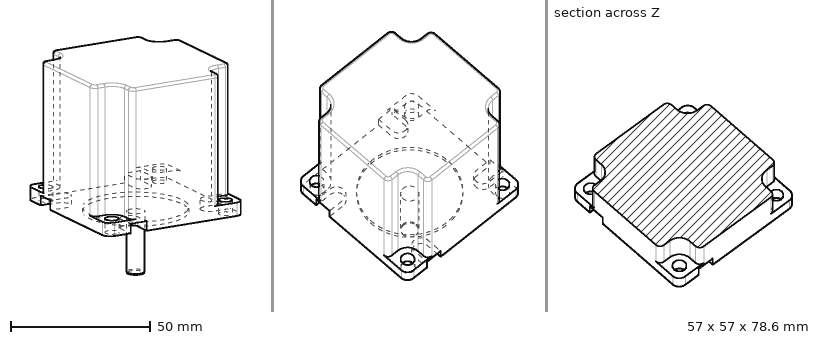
import cadquery as cq

side = 57.0
total_height = 78.6

plate_thickness = 5.0
plate_corner_radius = 3.15
hole_diameter = 5.0
hole_pitch = 47.1

motor_height = 54.0
relief_size = 10.1
housing_edge_radius = 2.05
top_edge_radius = 1.0

pilot_diameter = 38.1
pilot_height = 1.6
shaft_diameter = 6.5
shaft_end_chamfer_height = 0.5
shaft_end_chamfer_width = 0.15

slot_width = 6.75
slot_height = 3.6
slot_offset = 15.25
slot_straight_length = slot_width

pilot_bottom = -pilot_height
shaft_bottom = motor_height - total_height
half_side = side / 2
hole_offset = hole_pitch / 2
relief_corner_radius = relief_size - (half_side - hole_offset)


def make_plate():
    return (
        cq.Workplane("XY")
        .rect(side, side)
        .extrude(plate_thickness)
        .edges("|Z")
        .fillet(plate_corner_radius)
    )


def make_corner_relief():
    """Cutter for the (+X, +Y) corner, rounded where it faces the axis."""
    return (
        cq.Workplane("XY")
        .center(half_side, half_side)
        .rect(2 * relief_size, 2 * relief_size)
        .extrude(motor_height)
        .edges("|Z")
        .fillet(relief_corner_radius)
    )


def make_housing():
    housing = cq.Workplane("XY").rect(side, side).extrude(motor_height)
    relief = make_corner_relief()
    for quarter in range(4):
        housing = housing.cut(relief.rotate((0, 0, 0), (0, 0, 1), 90 * quarter))
    for face in ("<X", ">X", "<Y", ">Y"):
        housing = housing.faces(face).edges("|Z").fillet(housing_edge_radius)
    return housing.faces(">Z").edges().fillet(top_edge_radius)


def make_pilot():
    return cq.Workplane("XY").circle(pilot_diameter / 2).extrude(pilot_bottom)


def make_shaft():
    return (
        cq.Workplane("XY")
        .circle(shaft_diameter / 2)
        .extrude(shaft_bottom)
        .faces("<Z")
        .chamfer(shaft_end_chamfer_height, shaft_end_chamfer_width)
    )


def make_slot():
    """Cutter for the slot opening in the -Y face."""
    end_center_y = -half_side + slot_straight_length
    half_width = slot_width / 2
    return (
        cq.Workplane("XY")
        .moveTo(-slot_offset - half_width, -half_side)
        .lineTo(-slot_offset - half_width, end_center_y)
        .threePointArc(
            (-slot_offset, end_center_y + half_width),
            (-slot_offset + half_width, end_center_y),
        )
        .lineTo(-slot_offset + half_width, -half_side)
        .close()
        .extrude(slot_height)
    )


def make_mounting_holes():
    return (
        cq.Workplane("XY")
        .rect(hole_pitch, hole_pitch, forConstruction=True)
        .vertices()
        .circle(hole_diameter / 2)
        .extrude(plate_thickness)
    )


motor = make_plate().union(make_housing()).cut(make_mounting_holes())
slot = make_slot()
for quarter in range(4):
    motor = motor.cut(slot.rotate((0, 0, 0), (0, 0, 1), 90 * quarter))

result = motor.union(make_pilot()).union(make_shaft())